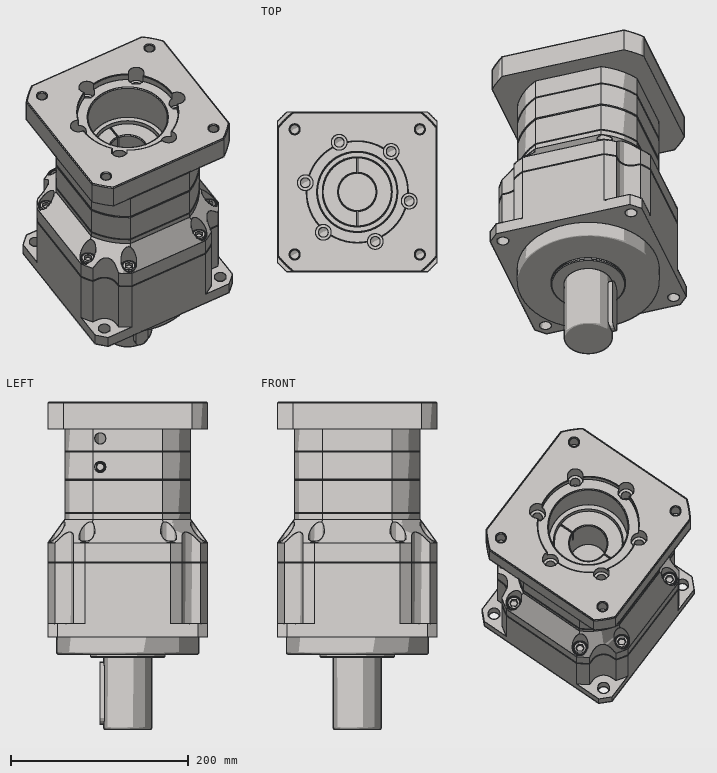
import cadquery as cq
import math

SHAFT_RING_Z = 81.5
PILOT_Z = 85.0
FLANGE_Z = 104.5
FLANGE_TOP_Z = 119.5
SHOULDER_Z = 210.5
NECK_Z = 237.0
PLATE_Z = 338.5
TOP_Z = 369.0
HUB_TOP_Z = 306.0
HUB_SEAT_Z = 310.0
CHAMBER_FLOOR_Z = 243.5

BODY_HALF = 90.0
PLATE_CORNER_R = 115.5
BODY_CORNER_R = 102.2
NECK_HALF = 71.0
NECK_CORNER_R = 80.8
PLATE_CHAMFER = 1.0
FLANGE_CORNER_CUT = 10.7

NOTCH_HALF = 61.0
EAR_HOLE_HALF = 76.0
EAR_HOLE_D = 13.3
NOTCH_FILLET = EAR_HOLE_HALF - NOTCH_HALF

NARROW_CHAMFER = 0.55
WIDE_CHAMFER = 0.92
GROOVE_REACH = 3.7
JOINT_GROOVES = [
    (BODY_HALF, BODY_CORNER_R, 188.5, NARROW_CHAMFER),
    (NECK_HALF, NECK_CORNER_R, 244.0, NARROW_CHAMFER),
    (NECK_HALF, NECK_CORNER_R, 281.5, WIDE_CHAMFER),
    (NECK_HALF, NECK_CORNER_R, 313.3, NARROW_CHAMFER),
]

POCKET_CIRCLE_R = 92.0
POCKET_R = 9.0
POCKET_FLOOR_Z = 210.7
POCKET_ANGLE = 30
SCREW_HEAD_R = 7.7
SCREW_HEAD_TOP_Z = 212.5
SCREW_HEAD_CHAMFER = 1.0
HEX_SOCKET_D = 9.2
HEX_SOCKET_DEPTH = 4.5

PILOT_R = 80.0
SHAFT_RING_R = 42.0
SHAFT_RING_CHAMFER = 1.0
PILOT_FILLET = 2.2
SHAFT_R = 27.3
SHAFT_TIP_FILLET = 3.0
SHAFT_TOP_Z = FLANGE_TOP_Z
KEY_WIDTH = 16.0
KEY_BOTTOM_Z = 6.0
KEY_LENGTH = 70.0
KEY_TOP_Y = 31.5
KEY_HEIGHT = 10.0

RECESS_R = 57.0
RECESS_DEPTH = 9.0
RECESS_CHAMFER = 0.7
BORE_R = 44.5
BORE_CHAMFER = 1.0
CHAMBER_R = 39.5
MOTOR_HOLE_HALF = 70.5
MOTOR_HOLE_R = 5.0
MOTOR_HOLE_DEPTH = 22.0
MOTOR_HOLE_CHAMFER = 1.0
DRILL_TIP_RATIO = 0.6
PLATE_SCREW_CIRCLE_R = 59.5
PLATE_SCREW_START = -10
PLATE_SCREW_COUNT = 6
COUNTERBORE_R = 9.0
COUNTERBORE_DEPTH = 22.0
PLATE_SCREW_R = 5.5
PLATE_SCREW_DEPTH = 44.3

SIDE_HOLE_Y = 31.0
SIDE_HOLE_R = 6.3
VENT_HOLE_Z = 328.0
CLAMP_SCREW_Z = 296.0
CLAMP_SCREW_R = 4.0
CLAMP_HEAD_R = 5.0
CLAMP_HEAD_X = 14.8
HUB_R = 38.5
HUB_BORE_R = 21.0
HUB_BORE_CHAMFER = 1.0
HUB_SLIT = 1.5
HUB_SLIT_DEPTH = 22.0


def cylinder(radius, bottom, top):
    return cq.Workplane("XY").workplane(offset=bottom).circle(radius).extrude(top - bottom)


def chamfered_mouth(bore, radius, top, size):
    """Bore cutter widened by a 45 degree chamfer at its upper end."""
    cone = cq.Solid.makeCone(radius, radius + size, size, pnt=cq.Vector(0, 0, top - size))
    return bore.union(cq.Workplane("XY").add(cone))


def square_outline(plane, half, corner_r):
    """Square across flats 2 * half whose corners are arcs about the axis."""
    edge = math.sqrt(corner_r**2 - half**2)
    diagonal = corner_r / math.sqrt(2)
    return (
        plane.moveTo(edge, -half)
        .threePointArc((diagonal, -diagonal), (half, -edge))
        .lineTo(half, edge)
        .threePointArc((diagonal, diagonal), (edge, half))
        .lineTo(-edge, half)
        .threePointArc((-diagonal, diagonal), (-half, edge))
        .lineTo(-half, -edge)
        .threePointArc((-diagonal, -diagonal), (-edge, -half))
        .close()
    )


def square_block(half, corner_r, bottom, top):
    plane = cq.Workplane("XY").workplane(offset=bottom)
    return square_outline(plane, half, corner_r).extrude(top - bottom)


def shoulder():
    """Sloped transition from the body section up to the neck section."""
    lower = square_outline(cq.Workplane("XY").workplane(offset=SHOULDER_Z), BODY_HALF, BODY_CORNER_R)
    upper_plane = lower.workplane(offset=NECK_Z - SHOULDER_Z)
    return square_outline(upper_plane, NECK_HALF, NECK_CORNER_R).loft(ruled=True)


def corner_points(half):
    return [(sx * half, sy * half) for sx in (-1, 1) for sy in (-1, 1)]


def circle_points(radius, angles):
    return [(radius * math.cos(math.radians(a)), radius * math.sin(math.radians(a))) for a in angles]


def drilled_holes(points, radius, top, depth):
    """Blind holes that end in a drill point."""
    tip = DRILL_TIP_RATIO * radius
    drill = (
        cq.Workplane("XZ")
        .polyline([(0, 0), (radius, 0), (radius, -depth), (0, -depth - tip)])
        .close()
        .revolve(360, (0, 0), (0, 1))
        .val()
    )
    return cq.Workplane("XY").workplane(offset=top).pushPoints(points).eachpoint(drill.moved)


def corner_notches():
    """Rounded corner cuts above the flange ears."""
    size = BODY_HALF
    return (
        cq.Workplane("XY")
        .workplane(offset=FLANGE_TOP_Z)
        .pushPoints(corner_points(NOTCH_HALF + size / 2))
        .rect(size, size)
        .extrude(NECK_Z - FLANGE_TOP_Z)
        .edges("|Z")
        .fillet(NOTCH_FILLET)
    )


def joint_groove(half, corner_r, joint, chamfer):
    """Ring cutter left around two stacked blocks whose meeting edges are chamfered."""
    bottom = joint - GROOVE_REACH
    top = joint + GROOVE_REACH
    notches = corner_notches()
    lower = square_block(half, corner_r, bottom, joint).cut(notches).faces(">Z").chamfer(chamfer)
    upper = square_block(half, corner_r, joint, top).cut(notches).faces("<Z").chamfer(chamfer)
    sleeve = square_block(half + GROOVE_REACH, corner_r + GROOVE_REACH, bottom, top)
    return sleeve.cut(lower).cut(upper)


def shoulder_pockets():
    """Pocket cutters hollowed out where the screw heads remain, joined to their hex sockets."""
    angles = [90 * side + turn for side in range(4) for turn in (POCKET_ANGLE, 90 - POCKET_ANGLE)]
    points = circle_points(POCKET_CIRCLE_R, angles)
    plane = cq.Workplane("XY").workplane(offset=POCKET_FLOOR_Z)
    pockets = plane.pushPoints(points).circle(POCKET_R).extrude(NECK_Z - POCKET_FLOOR_Z)
    heads = plane.pushPoints(points).circle(SCREW_HEAD_R).extrude(SCREW_HEAD_TOP_Z - POCKET_FLOOR_Z)
    heads = heads.faces(">Z").chamfer(SCREW_HEAD_CHAMFER)
    head_tops = cq.Workplane("XY").workplane(offset=SCREW_HEAD_TOP_Z)
    sockets = head_tops.pushPoints(points).polygon(6, HEX_SOCKET_D).extrude(-HEX_SOCKET_DEPTH)
    return pockets.cut(heads).union(sockets)


def motor_bore():
    floor = TOP_Z - RECESS_DEPTH
    recess = chamfered_mouth(cylinder(RECESS_R, floor, TOP_Z), RECESS_R, TOP_Z, RECESS_CHAMFER)
    bore = chamfered_mouth(cylinder(BORE_R, HUB_SEAT_Z, floor), BORE_R, floor, BORE_CHAMFER)
    chamber = cylinder(CHAMBER_R, CHAMBER_FLOOR_Z, HUB_SEAT_Z)
    return recess.union(bore).union(chamber)


def plate_screw_holes():
    step = 360 / PLATE_SCREW_COUNT
    points = circle_points(
        PLATE_SCREW_CIRCLE_R, [PLATE_SCREW_START + step * i for i in range(PLATE_SCREW_COUNT)]
    )
    top = cq.Workplane("XY").workplane(offset=TOP_Z)
    counterbores = top.pushPoints(points).circle(COUNTERBORE_R).extrude(-COUNTERBORE_DEPTH)
    return counterbores.union(drilled_holes(points, PLATE_SCREW_R, TOP_Z, PLATE_SCREW_DEPTH))


def motor_plate():
    plate = square_block(BODY_HALF, PLATE_CORNER_R, PLATE_Z, TOP_Z)
    plate = plate.faces(">Z").chamfer(PLATE_CHAMFER)
    points = corner_points(MOTOR_HOLE_HALF)
    plate = plate.cut(drilled_holes(points, MOTOR_HOLE_R, TOP_Z, MOTOR_HOLE_DEPTH))
    rims = plate.faces(">Z").edges("%CIRCLE").edges(cq.selectors.RadiusNthSelector(0))
    return rims.chamfer(MOTOR_HOLE_CHAMFER)


def side_holes():
    """Two access holes through the -X wall of the neck."""
    return (
        cq.Workplane("YZ")
        .pushPoints([(SIDE_HOLE_Y, VENT_HOLE_Z), (SIDE_HOLE_Y, CLAMP_SCREW_Z)])
        .circle(SIDE_HOLE_R)
        .extrude(-BODY_HALF)
    )


def housing_body():
    flange = (
        cq.Workplane("XY")
        .workplane(offset=FLANGE_Z)
        .rect(2 * BODY_HALF, 2 * BODY_HALF)
        .extrude(FLANGE_TOP_Z - FLANGE_Z)
        .edges("|Z")
        .chamfer(FLANGE_CORNER_CUT)
    )
    ear_holes = (
        cq.Workplane("XY")
        .workplane(offset=FLANGE_Z)
        .pushPoints(corner_points(EAR_HOLE_HALF))
        .circle(EAR_HOLE_D / 2)
        .extrude(FLANGE_TOP_Z - FLANGE_Z)
    )
    pilot = cylinder(PILOT_R, PILOT_Z, FLANGE_Z).faces("<Z").edges().fillet(PILOT_FILLET)
    ring = cylinder(SHAFT_RING_R, SHAFT_RING_Z, PILOT_Z).faces("<Z").chamfer(SHAFT_RING_CHAMFER)

    body = square_block(BODY_HALF, BODY_CORNER_R, FLANGE_TOP_Z, SHOULDER_Z).union(shoulder())
    body = body.cut(corner_notches()).cut(shoulder_pockets())
    neck = square_block(NECK_HALF, NECK_CORNER_R, NECK_Z, PLATE_Z)

    housing = body.union(neck).union(motor_plate())
    for groove in JOINT_GROOVES:
        housing = housing.cut(joint_groove(*groove))
    housing = housing.union(flange.cut(ear_holes)).union(pilot).union(ring)
    housing = housing.cut(motor_bore()).cut(plate_screw_holes()).cut(side_holes())
    return housing.cut(cylinder(SHAFT_R, SHAFT_RING_Z, SHAFT_TOP_Z))


def shaft_key():
    """Parallel key with round ends, let into the +Y side of the shaft."""
    return (
        cq.Workplane("XZ", origin=(0, KEY_TOP_Y, KEY_BOTTOM_Z + KEY_LENGTH / 2))
        .slot2D(KEY_LENGTH, KEY_WIDTH, 90)
        .extrude(KEY_HEIGHT)
    )


def output_shaft():
    shaft = cylinder(SHAFT_R, 0, SHAFT_TOP_Z).faces("<Z").edges().fillet(SHAFT_TIP_FILLET)
    return shaft.cut(shaft_key())


def clamping_hub():
    """Slotted hub that clamps the motor shaft."""
    bore = cylinder(HUB_BORE_R, CHAMBER_FLOOR_Z, HUB_TOP_Z)
    bore = chamfered_mouth(bore, HUB_BORE_R, HUB_TOP_Z, HUB_BORE_CHAMFER)
    hub = cylinder(HUB_R, CHAMBER_FLOOR_Z, HUB_TOP_Z).cut(bore)
    slit = cq.Workplane("XY").workplane(offset=HUB_TOP_Z).rect(HUB_SLIT, 2 * HUB_R).extrude(-HUB_SLIT_DEPTH)
    screw_axis = cq.Workplane("YZ", origin=(0, SIDE_HOLE_Y, CLAMP_SCREW_Z))
    screw = screw_axis.circle(CLAMP_SCREW_R).extrude(-HUB_R)
    head = screw_axis.workplane(offset=-CLAMP_HEAD_X).circle(CLAMP_HEAD_R).extrude(CLAMP_HEAD_X - HUB_R)
    return hub.cut(slit).cut(screw).cut(head)


housing = housing_body()
shaft = output_shaft()
key = shaft_key()
hub = clamping_hub()

result = cq.Compound.makeCompound([housing.val(), shaft.val(), key.val(), hub.val()])